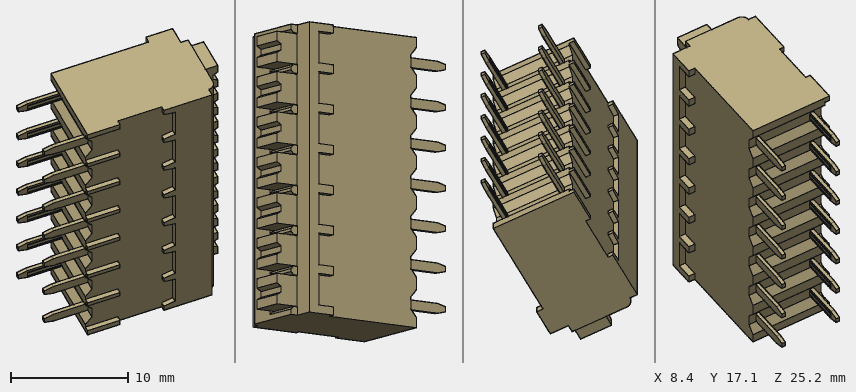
import cadquery as cq
import math


width = 8.4
depth = 17.15
height = 25.2

pole_count = 7
pole_pitch = 3.5
first_pole_z = (height - (pole_count - 1) * pole_pitch) / 2
pole_heights = [first_pole_z + i * pole_pitch for i in range(pole_count)]

front_y = 3.48
shoulder_y = 15.07
cap_y = 15.75
cap_left_x = 1.75
cap_right_x = 7.69
left_wall_x = 0.6
right_wall_x = 7.95
left_lip_y = 12.57
foot_back_y = 6.5
right_lip_y = 10.58
cap_round = cap_y - shoulder_y

lip_window_height = 2.75
lip_bar_y = 14.05
foot_window_height = 3.1
right_window_depth = 1.0
right_window_floor_rise = 0.05

groove_depth = 0.6
groove_floor_height = 1.03
groove_mouth_height = 2.45

lever_left_x = 1.81
lever_right_x = 4.81
lever_height = 2.65
lever_notch_width = 1.0
pocket_clearance = 0.05
pocket_mouth_chamfer = 0.25

pin_left_x = 1.29
pin_right_x = 7.15
pin_thickness = 0.35
pin_height = 0.85
pin_tip_height = 0.45
pin_taper_length = 0.83
pin_rib_thickness = 0.08
pin_rib_height = 0.43
pin_embedding = 1.0

groove_floor_y = front_y + groove_depth


def box(x0, x1, y0, y1, z_center, z_size):
    """Box between two X and two Y positions, centred on a height."""
    return (
        cq.Workplane("XY")
        .box(x1 - x0, y1 - y0, z_size, centered=False)
        .translate((x0, y0, z_center - z_size / 2))
    )


def extrude_along_x(points, x0, x1):
    """Prism between two X positions from an outline of (y, z) points."""
    return cq.Workplane("YZ").polyline(points).close().extrude(x1 - x0).translate((x0, 0, 0))


def trapezoid(y0, height0, y1, height1, z_center):
    """(y, z) outline that is height0 tall at y0 and height1 tall at y1."""
    return [
        (y0, z_center - height0 / 2),
        (y1, z_center - height1 / 2),
        (y1, z_center + height1 / 2),
        (y0, z_center + height0 / 2),
    ]


def housing_blank():
    """Full-height housing with the stepped sides and the rounded cap corner."""
    return (
        cq.Workplane("XY")
        .moveTo(left_wall_x, front_y)
        .lineTo(width, front_y)
        .lineTo(width, foot_back_y)
        .lineTo(right_wall_x, foot_back_y)
        .lineTo(right_wall_x, right_lip_y)
        .lineTo(width, right_lip_y)
        .lineTo(width, shoulder_y)
        .lineTo(cap_right_x, shoulder_y)
        .radiusArc((cap_right_x - cap_round, cap_y), -cap_round)
        .lineTo(cap_left_x, cap_y)
        .lineTo(cap_left_x, shoulder_y)
        .lineTo(0, shoulder_y)
        .lineTo(0, left_lip_y)
        .lineTo(left_wall_x, left_lip_y)
        .close()
        .extrude(height)
    )


def side_windows(z):
    """Openings of one pole in the left lip and in the front right foot."""
    left = box(0, left_wall_x, left_lip_y, lip_bar_y, z, lip_window_height)
    foot = box(right_wall_x, width, front_y, foot_back_y, z, foot_window_height)
    return left.union(foot)


def right_lip_window(z):
    """Drafted opening of one pole in the right lip, with a slightly sloping floor."""
    floor_y = right_lip_y + right_window_depth
    outer_floor_y = floor_y + right_window_floor_rise
    side_outline = trapezoid(right_lip_y, foot_window_height, floor_y, lip_window_height, z)
    drafted = extrude_along_x(side_outline, right_wall_x, width)
    drafted = drafted.union(box(right_wall_x, width, floor_y, outer_floor_y, z, lip_window_height))
    plan = (
        cq.Workplane("XY")
        .moveTo(right_wall_x, right_lip_y)
        .lineTo(width, right_lip_y)
        .lineTo(width, outer_floor_y)
        .lineTo(right_wall_x, floor_y)
        .close()
        .extrude(height)
    )
    return drafted.intersect(plan)


def front_groove(z):
    """Groove across the front face, narrowing to its flat floor."""
    outline = trapezoid(front_y, groove_mouth_height, groove_floor_y, groove_floor_height, z)
    return extrude_along_x(outline, 0, width)


def lever_pocket(z):
    """Pocket in the cap, open to the left, with a chamfered mouth."""
    right_x = lever_right_x + pocket_clearance
    mouth_height = lip_window_height + 2 * pocket_mouth_chamfer
    pocket = box(cap_left_x, right_x, shoulder_y, cap_y, z, lip_window_height)
    mouth = trapezoid(cap_y - pocket_mouth_chamfer, lip_window_height, cap_y, mouth_height, z)
    return pocket.union(extrude_along_x(mouth, cap_left_x, right_x))


def lever(z):
    """Release lever with a half-hexagon notch across its end."""
    block = box(lever_left_x, lever_right_x, shoulder_y, depth, z, lever_height)
    notch_floor_y = depth - lever_notch_width / 2 * math.sin(math.pi / 3)
    notch = trapezoid(notch_floor_y, lever_notch_width / 2, depth, lever_notch_width, z)
    return block.cut(extrude_along_x(notch, lever_left_x, lever_right_x))


def pin(x, z, inner_side):
    """Flat pin with a tapered tip; inner_side is +1 or -1, the X direction of its rib."""
    end_y = groove_floor_y + pin_embedding
    x1 = x + pin_thickness
    shank = box(x, x1, pin_taper_length, end_y, z, pin_height)
    tip = extrude_along_x(trapezoid(0, pin_tip_height, pin_taper_length, pin_height, z), x, x1)
    rib_x = x + inner_side * pin_rib_thickness
    rib = box(rib_x, rib_x + pin_thickness, pin_taper_length, end_y, z, pin_rib_height)
    return shank.union(tip).union(rib)


result = housing_blank()
for pole_z in pole_heights:
    result = result.cut(side_windows(pole_z))
    result = result.cut(right_lip_window(pole_z))
    result = result.cut(front_groove(pole_z))
    result = result.cut(lever_pocket(pole_z))
    result = result.union(lever(pole_z))
    result = result.union(pin(pin_left_x, pole_z, 1))
    result = result.union(pin(pin_right_x - pin_thickness, pole_z, -1))